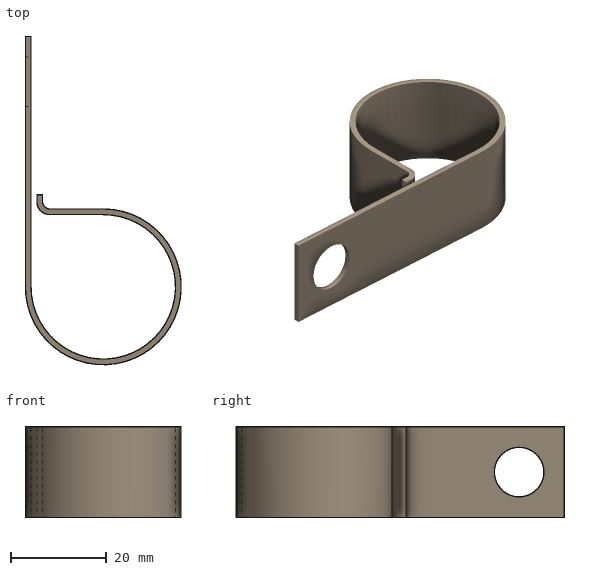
import cadquery as cq
import math

thickness = 1.25
width = 19.0
total_length = 68.7

outer_radius = 16.31
mid_radius = outer_radius - thickness / 2
tab_end = total_length - outer_radius

lip_gap = 1.2
lip_inner_radius = 1.5
lip_mid_radius = lip_inner_radius + thickness / 2
lip_height = 4.2

hole_diameter = 10.3
hole_end_distance = 9.5

lip_x = -outer_radius + thickness + lip_gap + thickness / 2
lip_bend_x = lip_x + lip_mid_radius
lip_bend_y = mid_radius + lip_mid_radius
lip_tip_y = outer_radius - thickness + lip_height
diagonal = math.sqrt(0.5)


def make_strap():
    """Sweep the strap section along its middle line."""
    middle_line = (
        cq.Workplane("XY")
        .moveTo(-mid_radius, tab_end)
        .lineTo(-mid_radius, 0)
        .threePointArc((mid_radius * diagonal, -mid_radius * diagonal), (0, mid_radius))
        .lineTo(lip_bend_x, mid_radius)
        .threePointArc(
            (lip_bend_x - lip_mid_radius * diagonal, lip_bend_y - lip_mid_radius * diagonal),
            (lip_x, lip_bend_y),
        )
        .lineTo(lip_x, lip_tip_y)
    )
    section = cq.Workplane("XZ", origin=(-mid_radius, tab_end, 0)).rect(thickness, width)
    return section.sweep(middle_line)


def make_hole():
    """Cylinder along X that passes through the tab only."""
    return (
        cq.Workplane("YZ", origin=(-mid_radius, tab_end - hole_end_distance, 0))
        .circle(hole_diameter / 2)
        .extrude(thickness, both=True)
    )


result = make_strap().cut(make_hole())